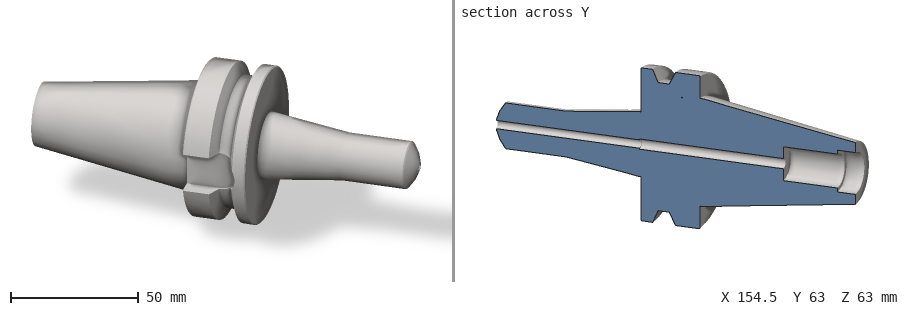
import cadquery as cq

total_length = 154.5

taper_small_radius = 12.8
taper_large_radius = 44.5 / 2
taper_length = 65.2

flange_radius = 63.0 / 2
flange_start = 66.7
flange_end = 92.3
flange_chamfer = 0.5
groove_floor_radius = 26.4
groove_start = 77.4
groove_floor_start = 80.1
groove_floor_end = 84.8
groove_end = 87.1

collar_radius = 13.5
collar_end = 93.1
pilot_radius = 19.0 / 2
pilot_start = 124.6
pilot_end = 150.3
pilot_chamfer = 0.5
tip_face_radius = 4.0 / 2
tip_middle_radius = 6.5
tip_middle_x = 152.5

slot_width = 16.0
slot_end = 88.2
slot_floor_offset = 24.2

mouth_diameter = 17.0
mouth_depth = 7.7
bore_diameter = 13.7
bore_depth = 30.9
channel_diameter = 4.0
channel_depth = 92.7
through_diameter = 3.2


def turned_body():
    """Solid of revolution with the whole outside profile, as (X, radius) points."""
    profile = [
        (0, 0),
        (0, taper_small_radius),
        (taper_length, taper_large_radius),
        (flange_start, taper_large_radius),
        (flange_start, flange_radius - flange_chamfer),
        (flange_start + flange_chamfer, flange_radius),
        (groove_start, flange_radius),
        (groove_floor_start, groove_floor_radius),
        (groove_floor_end, groove_floor_radius),
        (groove_end, flange_radius),
        (flange_end - flange_chamfer, flange_radius),
        (flange_end, flange_radius - flange_chamfer),
        (flange_end, collar_radius),
        (collar_end, collar_radius),
        (pilot_start, pilot_radius),
        (pilot_end, pilot_radius),
        (pilot_end + pilot_chamfer, pilot_radius - pilot_chamfer),
    ]
    return (
        cq.Workplane("XY")
        .polyline(profile)
        .threePointArc((tip_middle_x, tip_middle_radius), (total_length, tip_face_radius))
        .lineTo(total_length, 0)
        .close()
        .revolve(360, (0, 0, 0), (1, 0, 0))
    )


def drive_slot(side):
    """Cutter for one round-ended slot, open towards the taper; side is +1 or -1 along Y."""
    half_width = slot_width / 2
    arc_center_x = slot_end - half_width
    return (
        cq.Workplane("XZ", origin=(0, side * slot_floor_offset, 0))
        .moveTo(flange_start, -half_width)
        .lineTo(arc_center_x, -half_width)
        .threePointArc((slot_end, 0), (arc_center_x, half_width))
        .lineTo(flange_start, half_width)
        .close()
        .extrude(-side * flange_radius)
    )


def axial_hole(diameter, depth):
    """Cylindrical cutter entering from the small end of the taper."""
    return cq.Workplane("YZ").circle(diameter / 2).extrude(depth)


result = turned_body()
for side in (1, -1):
    result = result.cut(drive_slot(side))
for diameter, depth in (
    (mouth_diameter, mouth_depth),
    (bore_diameter, bore_depth),
    (channel_diameter, channel_depth),
    (through_diameter, total_length),
):
    result = result.cut(axial_hole(diameter, depth))